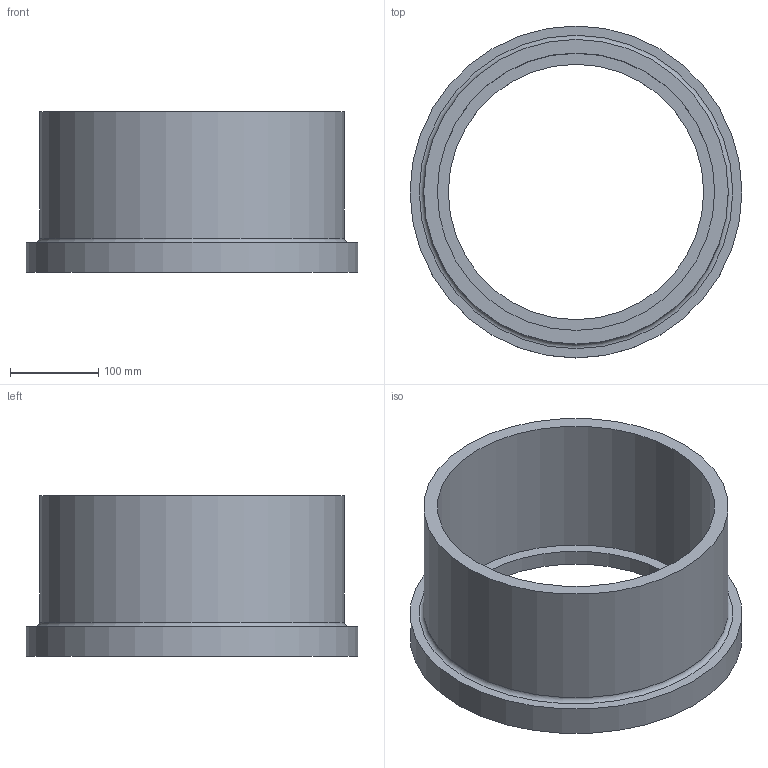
import cadquery as cq

total_height = 182.8
flange_diameter = 377.0
flange_height = 34.0
tube_diameter = 346.0
tube_bore_diameter = 315.0
lip_bore_diameter = 290.0
lip_height = 17.8
root_fillet_radius = 5.0
selection_margin = 1.0


def make_flanged_sleeve():
    """Tube standing on a wider base flange, both centred on the Z axis."""
    flange = cq.Workplane("XY").circle(flange_diameter / 2).extrude(flange_height)
    tube = cq.Workplane("XY").circle(tube_diameter / 2).extrude(total_height)
    return flange.union(tube)


def fillet_flange_root(body):
    """Round the inside corner where the tube meets the top of the flange."""
    reach = tube_diameter / 2 + selection_margin
    root_edge = cq.selectors.BoxSelector(
        (-reach, -reach, flange_height - selection_margin),
        (reach, reach, flange_height + selection_margin),
        boundingbox=True,
    )
    return body.edges(root_edge).fillet(root_fillet_radius)


def cut_stepped_bore(body):
    """Bore through the base, widened above the lip that forms the inner ledge."""
    lip_bore = cq.Workplane("XY").circle(lip_bore_diameter / 2).extrude(total_height)
    tube_bore = (
        cq.Workplane("XY", origin=(0, 0, lip_height))
        .circle(tube_bore_diameter / 2)
        .extrude(total_height - lip_height)
    )
    return body.cut(lip_bore).cut(tube_bore)


result = cut_stepped_bore(fillet_flange_root(make_flanged_sleeve()))